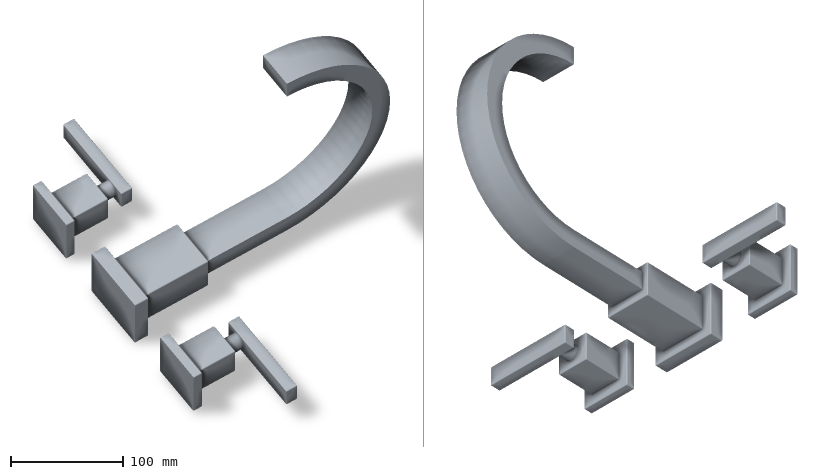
import cadquery as cq

SPAN = 355.5
AXIS_Z = 28.5
EDGE_RADIUS = 1.0

SPOUT_PLATE_WIDTH = 69.5
SPOUT_PLATE_HEIGHT = 2 * AXIS_Z
SPOUT_PLATE_DEPTH = 14.5
SPOUT_BLOCK_WIDTH = 49.8
SPOUT_BLOCK_HEIGHT = 36.5
SPOUT_BLOCK_END = 85.7
BAND_WIDTH = 38.0
BAND_THICKNESS = 19.2
BAND_TOP = 241.0
BAND_REACH = 285.2

HANDLE_X = 101.5
HANDLE_PLATE_WIDTH = 53.5
HANDLE_PLATE_HEIGHT = 51.2
HANDLE_PLATE_DEPTH = 9.2
HANDLE_BLOCK_WIDTH = 34.0
HANDLE_BLOCK_HEIGHT = 30.0
HANDLE_BLOCK_END = 51.5
NECK_DIAMETER = 16.0
NECK_FILLET = 1.0
LEVER_LENGTH = 92.8
LEVER_HEIGHT = 20.3
LEVER_START = 66.0
LEVER_THICKNESS = 11.7


def block(width, height, y_start, y_end):
    """Box centred at X = 0 and the axis height, spanning y_start to y_end."""
    depth = y_end - y_start
    return cq.Workplane("XY").box(width, depth, height).translate((0, y_start + depth / 2, AXIS_Z))


def rounded_block(width, height, y_start, y_end):
    """Block with every edge rounded except those of its mounting-side (-Y) face."""
    return block(width, height, y_start, y_end).edges("not <Y").fillet(EDGE_RADIUS)


def make_band():
    """Flat spout band: straight run, then a half-circle bend back over itself."""
    outer_bottom = AXIS_Z - BAND_THICKNESS / 2
    inner_bottom = outer_bottom + BAND_THICKNESS
    inner_top = BAND_TOP - BAND_THICKNESS
    outer_radius = (BAND_TOP - outer_bottom) / 2
    bend_y = BAND_REACH - outer_radius
    bend_z = outer_bottom + outer_radius
    inner_reach = BAND_REACH - BAND_THICKNESS
    return (
        cq.Workplane("YZ")
        .moveTo(SPOUT_BLOCK_END, outer_bottom)
        .lineTo(bend_y, outer_bottom)
        .threePointArc((BAND_REACH, bend_z), (bend_y, BAND_TOP))
        .lineTo(bend_y, inner_top)
        .threePointArc((inner_reach, bend_z), (bend_y, inner_bottom))
        .lineTo(SPOUT_BLOCK_END, inner_bottom)
        .close()
        .extrude(BAND_WIDTH / 2, both=True)
    )


def make_spout():
    plate = rounded_block(SPOUT_PLATE_WIDTH, SPOUT_PLATE_HEIGHT, 0, SPOUT_PLATE_DEPTH)
    body = rounded_block(SPOUT_BLOCK_WIDTH, SPOUT_BLOCK_HEIGHT, SPOUT_PLATE_DEPTH, SPOUT_BLOCK_END)
    return plate.union(body).union(make_band())


def make_neck():
    """Round neck from block to lever, flared by a concave fillet at each end."""
    radius = NECK_DIAMETER / 2
    flare_radius = radius + NECK_FILLET
    return (
        cq.Workplane("XY")
        .moveTo(0, HANDLE_BLOCK_END)
        .lineTo(flare_radius, HANDLE_BLOCK_END)
        .radiusArc((radius, HANDLE_BLOCK_END + NECK_FILLET), NECK_FILLET)
        .lineTo(radius, LEVER_START - NECK_FILLET)
        .radiusArc((flare_radius, LEVER_START), NECK_FILLET)
        .lineTo(0, LEVER_START)
        .close()
        .revolve(360, (0, 0, 0), (0, 1, 0))
        .translate((0, 0, AXIS_Z))
    )


def make_lever():
    """Lever bar rounded on all edges, its tip reaching half the overall span."""
    lever_x = SPAN / 2 - LEVER_LENGTH / 2 - HANDLE_X
    bar = block(LEVER_LENGTH, LEVER_HEIGHT, LEVER_START, LEVER_START + LEVER_THICKNESS)
    return bar.edges().fillet(EDGE_RADIUS).translate((lever_x, 0, 0))


def make_handle(side):
    """Handle with its lever pointing outwards; side is +1 for +X, -1 for -X."""
    plate = rounded_block(HANDLE_PLATE_WIDTH, HANDLE_PLATE_HEIGHT, 0, HANDLE_PLATE_DEPTH)
    body = rounded_block(HANDLE_BLOCK_WIDTH, HANDLE_BLOCK_HEIGHT, HANDLE_PLATE_DEPTH, HANDLE_BLOCK_END)
    handle = plate.union(body).union(make_neck()).union(make_lever())
    handle = handle.translate((HANDLE_X, 0, 0))
    if side < 0:
        handle = handle.mirror("YZ")
    return handle


spout = make_spout()
handles = [make_handle(side) for side in (-1, 1)]

result = cq.Compound.makeCompound([spout.val(), *[handle.val() for handle in handles]])